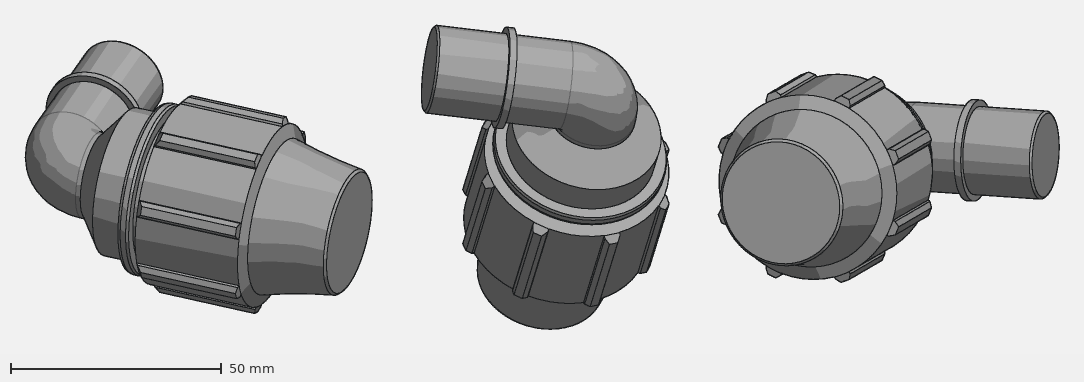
import cadquery as cq
import math

pipe_radius = 21.0 / 2
bend_radius = 8.35
inlet_end = 41.0
inlet_chamfer = 0.5
collar_radius = 24.1 / 2
collar_start = 22.1
collar_width = 1.7

total_length = 86.05
body_end = total_length - collar_radius
cone_start = 9.55
cone_end = 15.7
body_radius = 36.0 / 2
flange_start = 23.15
flange_end = 25.9
flange_radius = 41.7 / 2
flange_bevel_length = 0.7
flange_bevel_height = 0.3

nut_start = 28.2
nut_end = 54.3
nut_radius = 22.3
tail_start = 55.6
tail_start_radius = 19.0
tail_end_radius = 15.3
tail_sag = 0.35
tail_chamfer = 0.6

rib_count = 8
rib_top_radius = 24.0
rib_root_radius = 21.5
rib_top_width = 2.15
rib_base_width = 4.0
rib_shoulder_radius = 22.8
rib_front_slope = 1.5
rib_back_slope = 0.4


def inlet_pipe():
    """Straight pipe with a chamfered end and a thin collar."""
    pipe = cq.Workplane("XZ", origin=(0, bend_radius, 0)).circle(pipe_radius)
    pipe = pipe.extrude(bend_radius - inlet_end).faces(">Y").chamfer(inlet_chamfer)
    collar = cq.Workplane("XZ", origin=(0, collar_start, 0)).circle(collar_radius).extrude(-collar_width)
    return pipe.union(collar)


def elbow():
    """Tight quarter bend: the pipe section is cut off at the bend axis before it is revolved."""
    half_chord = math.sqrt(pipe_radius**2 - bend_radius**2)
    return (
        cq.Workplane("XZ", origin=(0, bend_radius, 0))
        .moveTo(bend_radius, -half_chord)
        .threePointArc((-pipe_radius, 0), (bend_radius, half_chord))
        .close()
        .revolve(90, (bend_radius, 0), (bend_radius, 1))
    )


def turned_body():
    """Neck, cone, flanged barrel, nut and tail as one revolved profile."""
    flange_edge_radius = flange_radius - flange_bevel_height
    chamfer_start = body_end - tail_chamfer
    tail_middle = (tail_start + chamfer_start) / 2
    tail_middle_radius = (tail_start_radius + tail_end_radius) / 2 - tail_sag
    return (
        cq.Workplane("XY")
        .moveTo(bend_radius, 0)
        .lineTo(bend_radius, pipe_radius)
        .lineTo(cone_start, pipe_radius)
        .lineTo(cone_end, body_radius)
        .lineTo(flange_start, body_radius)
        .lineTo(flange_start, flange_edge_radius)
        .lineTo(flange_start + flange_bevel_length, flange_radius)
        .lineTo(flange_end - flange_bevel_length, flange_radius)
        .lineTo(flange_end, flange_edge_radius)
        .lineTo(flange_end, body_radius)
        .lineTo(nut_start, body_radius)
        .lineTo(nut_start, nut_radius)
        .lineTo(nut_end, nut_radius)
        .lineTo(tail_start, tail_start_radius)
        .threePointArc((tail_middle, tail_middle_radius), (chamfer_start, tail_end_radius))
        .lineTo(body_end, tail_end_radius - tail_chamfer)
        .lineTo(body_end, 0)
        .close()
        .revolve(360, (0, 0), (1, 0))
    )


def grip_rib():
    """Rib on the +Z side of the nut: upright flanks, tapered crest and sloped ends."""
    section = (
        cq.Workplane("YZ", origin=(nut_start, 0, 0))
        .polyline([
            (-rib_base_width / 2, rib_root_radius),
            (-rib_base_width / 2, rib_shoulder_radius),
            (-rib_top_width / 2, rib_top_radius),
            (rib_top_width / 2, rib_top_radius),
            (rib_base_width / 2, rib_shoulder_radius),
            (rib_base_width / 2, rib_root_radius),
        ])
        .close()
        .extrude(nut_end - nut_start)
    )
    side = (
        cq.Workplane("XZ")
        .polyline([
            (nut_start, rib_root_radius),
            (nut_start, nut_radius),
            (nut_start + rib_front_slope, rib_top_radius),
            (nut_end - rib_back_slope, rib_top_radius),
            (nut_end, nut_radius),
            (nut_end, rib_root_radius),
        ])
        .close()
        .extrude(rib_base_width, both=True)
    )
    return section.intersect(side)


result = turned_body().union(elbow()).union(inlet_pipe())
rib_pitch = 360 / rib_count
rib = grip_rib()
for index in range(rib_count):
    angle = (index + 0.5) * rib_pitch
    result = result.union(rib.rotate((0, 0, 0), (1, 0, 0), angle))